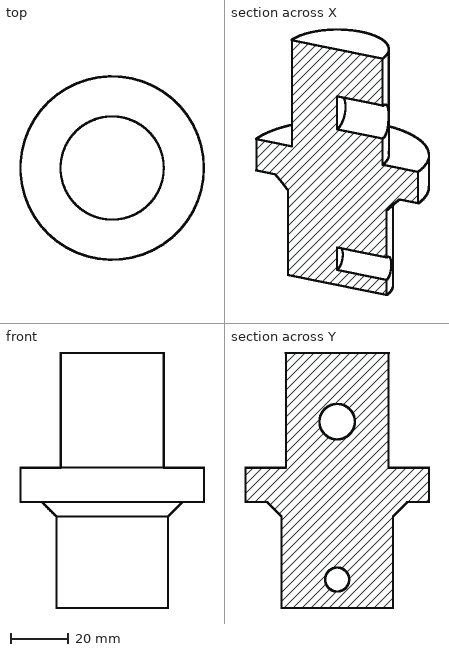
import cadquery as cq

lower_diameter = 39.0
lower_length = 32.0

cone_height = 5.0
cone_top_diameter = lower_diameter + 2 * cone_height

flange_diameter = 64.0
flange_thickness = 12.0

upper_diameter = 36.0
upper_length = 40.0

lower_hole_diameter = 8.3
lower_hole_z = 10.0
upper_hole_diameter = 12.3
upper_hole_above_flange = 16.0

flange_bottom_z = lower_length + cone_height
flange_top_z = flange_bottom_z + flange_thickness
top_z = flange_top_z + upper_length
upper_hole_z = flange_top_z + upper_hole_above_flange


def make_body():
    """Revolve the half profile (radius, height) about the Z axis."""
    profile = [
        (0, 0),
        (lower_diameter / 2, 0),
        (lower_diameter / 2, lower_length),
        (cone_top_diameter / 2, flange_bottom_z),
        (flange_diameter / 2, flange_bottom_z),
        (flange_diameter / 2, flange_top_z),
        (upper_diameter / 2, flange_top_z),
        (upper_diameter / 2, top_z),
        (0, top_z),
    ]
    return cq.Workplane("XZ").polyline(profile).close().revolve(360, (0, 0), (0, 1))


def radial_hole(diameter, height):
    """Cutter running from the shaft axis out past the +Y surface."""
    reach = flange_diameter / 2
    return cq.Workplane("XZ").center(0, height).circle(diameter / 2).extrude(-reach)


result = (
    make_body()
    .cut(radial_hole(lower_hole_diameter, lower_hole_z))
    .cut(radial_hole(upper_hole_diameter, upper_hole_z))
)